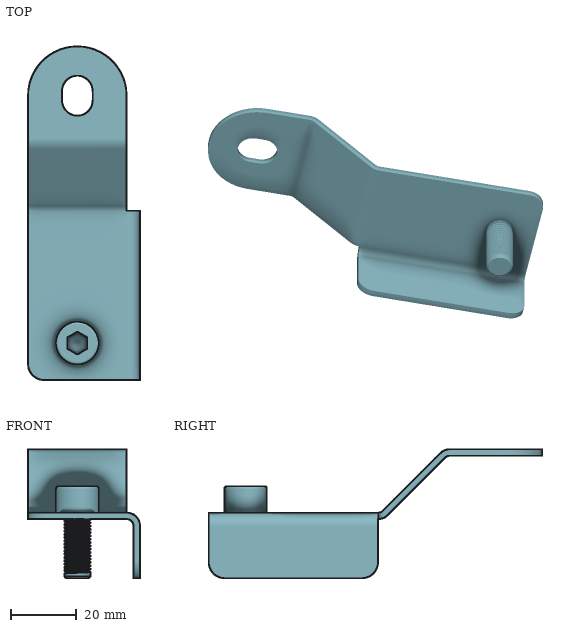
import cadquery as cq
import math


thickness = 2.0
inner_bend = 2.0
outer_bend = inner_bend + thickness
middle_bend = inner_bend + thickness / 2

strip_width = 30.0
total_length = 101.3
base_length = 51.5
crank_rise = 19.3
crank_angle = math.radians(45)
corner_radius = 5.0
slot_width = 9.2
slot_length = 12.1

flange_height = 20.0

screw_y = 11.2
head_diameter = 13.0
head_height = 8.0
head_fillet = 0.8
socket_across_flats = 6.0
socket_depth = 4.0
socket_cone_angle = math.radians(30)
shank_diameter = 8.0
shank_length = flange_height
tip_chamfer = 0.6

thread_pitch = 1.0
thread_depth = 0.6
thread_crest = 0.12
thread_flank_angle = math.radians(30)
thread_start = 1.3
thread_overcut = 0.1


def make_strip():
    """Flat base, inclined web and raised lug, swept along the middle of the sheet."""
    middle_z = -thickness / 2
    lug_centre_y = total_length - strip_width / 2
    bend_run = middle_bend * math.sin(crank_angle)
    bend_rise = middle_bend * (1 - math.cos(crank_angle))
    web_rise = crank_rise - 2 * bend_rise
    web_run = web_rise / math.tan(crank_angle)
    half_run = middle_bend * math.sin(crank_angle / 2)
    half_rise = middle_bend * (1 - math.cos(crank_angle / 2))
    web_start = (base_length + bend_run, middle_z + bend_rise)
    web_end = (web_start[0] + web_run, web_start[1] + web_rise)
    lug_start = (web_end[0] + bend_run, middle_z + crank_rise)

    path = (
        cq.Workplane("YZ")
        .moveTo(0, middle_z)
        .lineTo(base_length, middle_z)
        .threePointArc((base_length + half_run, middle_z + half_rise), web_start)
        .lineTo(*web_end)
        .threePointArc((lug_start[0] - half_run, lug_start[1] - half_rise), lug_start)
        .lineTo(lug_centre_y, lug_start[1])
    )
    strip = (
        cq.Workplane("XZ")
        .center(0, middle_z)
        .rect(strip_width, thickness)
        .sweep(path)
        .edges("|Z and <X and <Y")
        .fillet(corner_radius)
    )
    lug_plane = cq.Workplane("XY", origin=(0, lug_centre_y, crank_rise - thickness))
    lug_end = (
        lug_plane.moveTo(-strip_width / 2, 0)
        .threePointArc((0, strip_width / 2), (strip_width / 2, 0))
        .close()
        .extrude(thickness)
    )
    slot = lug_plane.slot2D(slot_length, slot_width, angle=90).extrude(thickness)
    return strip.union(lug_end).cut(slot)


def make_flange():
    """Side flange bent down from the right edge of the base."""
    bend_x = strip_width / 2
    inner_x = bend_x + inner_bend
    outer_x = bend_x + outer_bend
    diagonal = math.sqrt(0.5)
    return (
        cq.Workplane("XZ")
        .moveTo(bend_x, 0)
        .threePointArc(
            (bend_x + outer_bend * diagonal, -outer_bend + outer_bend * diagonal), (outer_x, -outer_bend)
        )
        .lineTo(outer_x, -flange_height)
        .lineTo(inner_x, -flange_height)
        .lineTo(inner_x, -outer_bend)
        .threePointArc(
            (bend_x + inner_bend * diagonal, -outer_bend + inner_bend * diagonal), (bend_x, -thickness)
        )
        .close()
        .extrude(-base_length)
        .edges("|X and <Z")
        .fillet(corner_radius)
    )


def make_bracket():
    screw_hole = (
        cq.Workplane("XY").center(0, screw_y).circle(shank_diameter / 2).extrude(-thickness)
    )
    return make_strip().union(make_flange()).cut(screw_hole)


def make_socket():
    """Hexagonal recess whose floor is a drill point."""
    across_corners = socket_across_flats / math.cos(math.pi / 6)
    cone_height = across_corners / 2 * math.tan(socket_cone_angle)
    top_plane = cq.Workplane("XY", origin=(0, 0, head_height))
    cone_top = head_height - socket_depth
    straight = top_plane.circle(across_corners / 2).extrude(-socket_depth)
    cone = cq.Workplane(
        cq.Solid.makeCone(across_corners / 2, 0, cone_height, cq.Vector(0, 0, cone_top), cq.Vector(0, 0, -1))
    )
    hexagon = (
        top_plane.transformed(rotate=(0, 0, 90))
        .polygon(6, across_corners)
        .extrude(-socket_depth - cone_height)
    )
    return straight.union(cone).intersect(hexagon)


def make_thread_groove():
    """Right-hand helical groove from near the tip up into the plate hole."""
    crest_radius = shank_diameter / 2
    root_radius = crest_radius - thread_depth
    mouth_radius = crest_radius + thread_overcut
    half_crest_mouth = (thread_pitch - thread_crest) / 2
    half_root = half_crest_mouth - thread_depth * math.tan(thread_flank_angle)
    half_mouth = half_crest_mouth + thread_overcut * math.tan(thread_flank_angle)
    turns_length = shank_length - thread_start - thickness / 2
    helix = cq.Wire.makeHelix(thread_pitch, turns_length, crest_radius)
    return (
        cq.Workplane("XZ")
        .polyline([
            (root_radius, -half_root),
            (mouth_radius, -half_mouth),
            (mouth_radius, half_mouth),
            (root_radius, half_root),
        ])
        .close()
        .sweep(cq.Workplane(helix), isFrenet=True)
        .translate((0, 0, thread_start - shank_length))
    )


def make_screw():
    head = (
        cq.Workplane("XY").circle(head_diameter / 2).extrude(head_height)
        .faces(">Z").edges().fillet(head_fillet)
    )
    shank = (
        cq.Workplane("XY").circle(shank_diameter / 2).extrude(-shank_length)
        .faces("<Z").edges().chamfer(tip_chamfer)
        .cut(make_thread_groove())
    )
    return head.union(shank).cut(make_socket()).translate((0, screw_y, 0))


bracket = make_bracket()
screw = make_screw()

result = cq.Compound.makeCompound([bracket.solids().val(), screw.solids().val()])